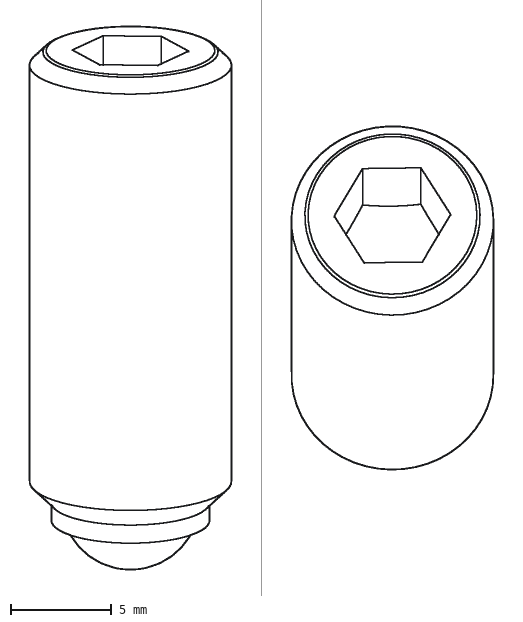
import cadquery as cq
import math

TOTAL_LENGTH = 26.7
BODY_RADIUS = 5.005

BALL_PROTRUSION = 2.4
BALL_RADIUS = 3.45
NOSE_RADIUS = 3.92
NOSE_LENGTH = 0.93
NOSE_CONE_LENGTH = BODY_RADIUS - NOSE_RADIUS

TOP_CHAMFER = 0.67
RIM_BEVEL_WIDTH = 0.15
RIM_BEVEL_HEIGHT = 0.08

HEX_ACROSS_FLATS = 5.0
HEX_DEPTH = 5.07
FLOOR_POINT_ANGLE = 120.0

hex_across_corners = HEX_ACROSS_FLATS / math.cos(math.radians(30))
hex_corner_radius = hex_across_corners / 2
floor_cone_depth = hex_corner_radius / math.tan(math.radians(FLOOR_POINT_ANGLE / 2))

nose_bottom = BALL_PROTRUSION
nose_top = nose_bottom + NOSE_LENGTH
cone_top = nose_top + NOSE_CONE_LENGTH
rim_outer_radius = BODY_RADIUS - TOP_CHAMFER
top_face_radius = rim_outer_radius - RIM_BEVEL_WIDTH
rim_bottom = TOTAL_LENGTH - RIM_BEVEL_HEIGHT
chamfer_bottom = rim_bottom - TOP_CHAMFER


def make_ball():
    """Full ball whose lowest point is at Z = 0."""
    return cq.Workplane("XY").sphere(BALL_RADIUS).translate((0, 0, BALL_RADIUS))


def make_screw_blank():
    """Turned profile: nose, cone, shank, chamfer and a shallow bevel around the top face."""
    profile = [
        (0, nose_bottom),
        (NOSE_RADIUS, nose_bottom),
        (NOSE_RADIUS, nose_top),
        (BODY_RADIUS, cone_top),
        (BODY_RADIUS, chamfer_bottom),
        (rim_outer_radius, rim_bottom),
        (top_face_radius, TOTAL_LENGTH),
        (0, TOTAL_LENGTH),
    ]
    return cq.Workplane("XZ").polyline(profile).close().revolve(360, (0, 0), (0, 1))


def make_hex_socket():
    """Hexagon prism, corners on X, ending in a cone that meets its corners."""
    socket_length = HEX_DEPTH + floor_cone_depth
    prism = (
        cq.Workplane("XY", origin=(0, 0, TOTAL_LENGTH - socket_length))
        .polygon(6, hex_across_corners)
        .extrude(socket_length)
    )
    drill_profile = [
        (0, TOTAL_LENGTH - socket_length),
        (hex_corner_radius, TOTAL_LENGTH - HEX_DEPTH),
        (hex_corner_radius, TOTAL_LENGTH),
        (0, TOTAL_LENGTH),
    ]
    drill = cq.Workplane("XZ").polyline(drill_profile).close().revolve(360, (0, 0), (0, 1))
    return prism.intersect(drill)


ball = make_ball()
screw = make_screw_blank().cut(make_hex_socket()).cut(ball)

result = cq.Compound.makeCompound([screw.solids().val(), ball.val()])